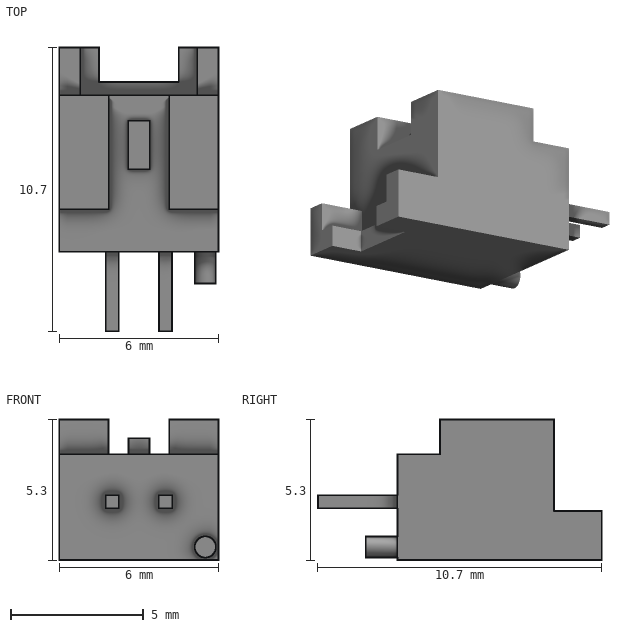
import cadquery as cq

housing_width = 6.0
block_length = 5.9
block_height = 4.0
total_height = 5.3

lip_length = 1.8
lip_height = 1.86
wall_thickness = 0.8
floor_thickness = 0.8
notch_width = 3.0
notch_depth = 1.3

rail_width = 1.86
rail_start = 1.6

bump_width = 0.8
bump_length = 1.84
bump_height = 0.6
bump_start = 3.1

pin_pitch = 2.0
pin_count = 2
pin_size = 0.5
pin_length = 3.0
pin_center_z = 2.2

post_diameter = 0.8
post_length = 1.2
post_x = 2.5
post_center_z = 0.5

housing_length = block_length + lip_length


def box_from(width, length, height, center_x, start_y, start_z):
    """Box centred on center_x that grows toward +Y and +Z from its start."""
    box = cq.Workplane("XY").box(width, length, height, centered=(True, False, False))
    return box.translate((center_x, start_y, start_z))


def make_block():
    return box_from(housing_width, block_length, block_height, 0, 0, 0)


def make_lip():
    """Floor with a side wall on each edge and a notch in its outer edge."""
    channel_width = housing_width - 2 * wall_thickness
    lip = box_from(housing_width, lip_length, lip_height, 0, block_length, 0)
    channel = box_from(channel_width, lip_length, lip_height, 0, block_length, floor_thickness)
    notch = box_from(notch_width, notch_depth, lip_height, 0, housing_length - notch_depth, 0)
    return lip.cut(channel).cut(notch)


def make_rail(side):
    rail_x = side * (housing_width - rail_width) / 2
    rail_length = block_length - rail_start
    return box_from(rail_width, rail_length, total_height - block_height, rail_x, rail_start, block_height)


def make_bump():
    return box_from(bump_width, bump_length, bump_height, 0, bump_start, block_height)


def make_pin(index):
    pin_x = (index - (pin_count - 1) / 2) * pin_pitch
    return box_from(pin_size, pin_length, pin_size, pin_x, -pin_length, pin_center_z - pin_size / 2)


def make_post():
    post = cq.Workplane("XZ").center(post_x, post_center_z)
    return post.circle(post_diameter / 2).extrude(post_length)


result = make_block().union(make_lip()).union(make_bump()).union(make_post())
for side in (-1, 1):
    result = result.union(make_rail(side))
for index in range(pin_count):
    result = result.union(make_pin(index))